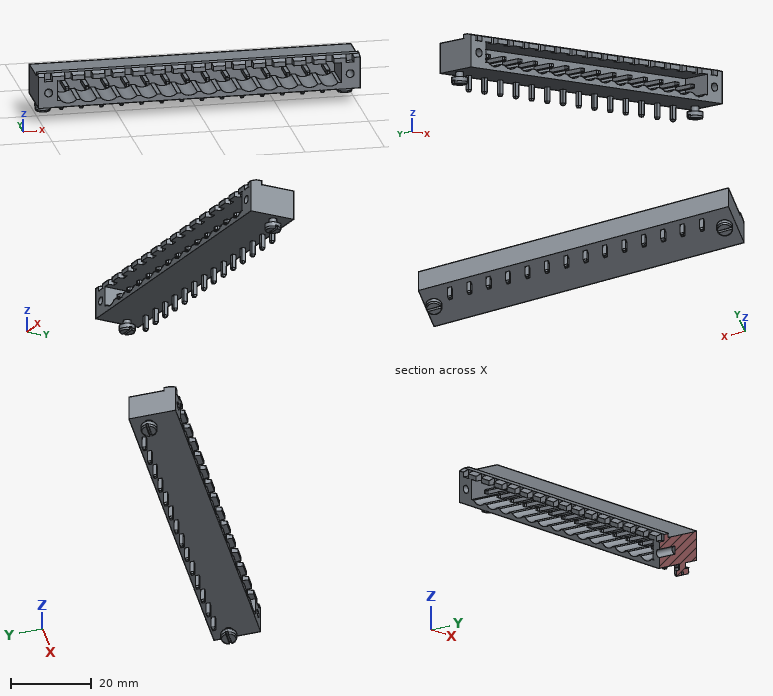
import cadquery as cq
import math


pin_count = 14
pitch = 5.08
station_count = pin_count + 2
length = station_count * pitch

depth = 12.0
rear_height = 7.6
front_height = 8.6
lip_depth = 3.0
lip_slope_run = 1.5
lip_slope_drop = 0.5

pocket_end_wall = 4.8
pocket_floor = 1.75
pocket_ceiling = 6.9
pocket_depth = 8.5
scallop_chord = 4.0
scallop_sag = 0.8

notch_depth = lip_slope_run
notch_back_width = 1.6
notch_front_width = 2.0

pin_size = 1.0
pin_tip_size = 0.6
pin_tip_length = 0.5
pin_axis_z = 3.9
pin_front_gap = 2.0
pin_tail_y = 10.0
pin_tail_length = 4.0

insert_diameter = 4.0
insert_bore = 2.0
insert_depth = 5.0

screw_y = 7.5
shank_diameter = 2.0
head_diameter = 4.0
head_top = -1.4
head_bottom = -3.0
head_bevel_height = 0.5
head_bevel_inset = 0.2
slot_width = 0.6
slot_depth = 0.75


def station_x(index):
    return (index - (station_count - 1) / 2) * pitch


stations = [station_x(i) for i in range(station_count)]
pin_stations = stations[1:-1]
flange_stations = [stations[0], stations[-1]]


def make_housing():
    """Extrude the stepped side profile along the row."""
    profile = [
        (0, 0),
        (depth, 0),
        (depth, rear_height),
        (lip_depth, rear_height),
        (lip_depth, front_height),
        (lip_slope_run, front_height),
        (0, front_height - lip_slope_drop),
    ]
    return cq.Workplane("YZ").polyline(profile).close().extrude(length / 2, both=True)


def make_pocket():
    """Mating cavity whose floor dips in a shallow arc below every pin."""
    half_length = length / 2 - pocket_end_wall
    outline = cq.Workplane("XZ").moveTo(-half_length, pocket_ceiling).lineTo(-half_length, pocket_floor)
    for x in pin_stations:
        outline = outline.lineTo(x - scallop_chord / 2, pocket_floor)
        outline = outline.threePointArc(
            (x, pocket_floor - scallop_sag), (x + scallop_chord / 2, pocket_floor)
        )
    outline = outline.lineTo(half_length, pocket_floor).lineTo(half_length, pocket_ceiling).close()
    return outline.extrude(-pocket_depth)


def make_notch(x):
    """Coding notch, wider at the mating face than at its back wall."""
    plan = [
        (x - notch_front_width / 2, 0),
        (x + notch_front_width / 2, 0),
        (x + notch_back_width / 2, notch_depth),
        (x - notch_back_width / 2, notch_depth),
    ]
    notch_height = front_height - pocket_ceiling
    return cq.Workplane("XY", (0, 0, pocket_ceiling)).polyline(plan).close().extrude(notch_height)


def make_pin_leg(start, direction, leg_length):
    """Square bar from start along direction, tapering at its far end."""
    plane = cq.Plane(origin=start, xDir=(1, 0, 0), normal=direction)
    shaft_length = leg_length - pin_tip_length
    taper = math.degrees(math.atan2((pin_size - pin_tip_size) / 2, pin_tip_length))
    shaft = cq.Workplane(plane).rect(pin_size, pin_size).extrude(shaft_length)
    tip = (
        cq.Workplane(plane)
        .workplane(offset=shaft_length)
        .rect(pin_size, pin_size)
        .extrude(pin_tip_length, taper=taper)
    )
    return shaft.union(tip)


def make_pin(x):
    """Bent pin: a contact pointing at the mating face and a solder tail pointing down."""
    bend = (x, pin_tail_y, pin_axis_z)
    contact = make_pin_leg(bend, (0, -1, 0), pin_tail_y - pin_front_gap)
    tail = make_pin_leg(bend, (0, 0, -1), pin_axis_z + pin_tail_length)
    return contact.union(tail)


def make_insert_cylinder(x, diameter):
    plane = cq.Workplane("XZ", (x, 0, pin_axis_z))
    return plane.circle(diameter / 2).extrude(-insert_depth)


def make_screw(x):
    """Slotted screw hanging below the housing, its shank anchored in the housing."""
    shank_radius = shank_diameter / 2
    head_radius = head_diameter / 2
    profile = [
        (0, rear_height / 2),
        (shank_radius, rear_height / 2),
        (shank_radius, head_top),
        (head_radius, head_top),
        (head_radius, head_bottom + head_bevel_height),
        (head_radius - head_bevel_inset, head_bottom),
        (0, head_bottom),
    ]
    screw = cq.Workplane("XZ").polyline(profile).close().revolve(360, (0, 0), (0, 1))
    slot = cq.Workplane("XY", (0, 0, head_bottom)).rect(head_diameter, slot_width).extrude(slot_depth)
    return screw.cut(slot).translate((x, screw_y, 0))


result = make_housing().cut(make_pocket())
for x in stations:
    result = result.cut(make_notch(x))
for x in pin_stations:
    result = result.union(make_pin(x))
for x in flange_stations:
    result = result.union(make_screw(x))
for x in flange_stations:
    insert = make_insert_cylinder(x, insert_diameter)
    bore = make_insert_cylinder(x, insert_bore)
    result = result.cut(insert, clean=False).union(insert.cut(bore), clean=False)